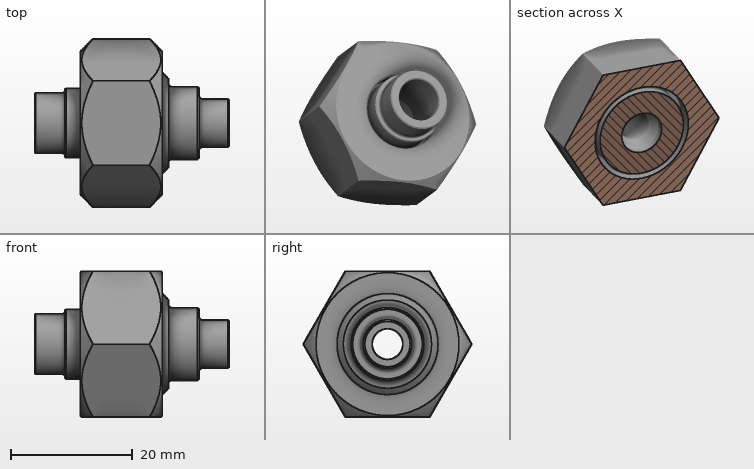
import cadquery as cq
import math

length = 32.0
step_length = 5.0
nut_start = 7.5
nut_width = 13.5
lip_thickness = 2.88
flange_thickness = 2.88
nut_end = nut_start + nut_width
flange_start = nut_start + lip_thickness
flange_end = flange_start + flange_thickness
tip_start = length - step_length
collar_start = tip_start - step_length

across_flats = 24.0
nut_face_diameter = 23.5
nut_hole_diameter = 12.3
nut_hole_chamfer = 0.3
body_diameter = 16.6

tail_tip_diameter = 10.0
tail_collar_diameter = 11.5
flange_diameter = 14.95
tail_bore_diameter = 7.0
tail_chamfer = 0.2
tail_fillet = 0.4
bore_cone_length = 1.73

adapter_tip_diameter = 8.0
adapter_collar_diameter = 12.0
cone_end_diameter = 14.5
adapter_chamfer = 0.3
adapter_fillet = 0.5
through_bore_diameter = 5.0

CUT_MARGIN = 0.32


def cylinder(start, end, diameter):
    return cq.Workplane("YZ").workplane(offset=start).circle(diameter / 2).extrude(end - start)


def cone(start, end, start_diameter, end_diameter):
    """Truncated cone on the X axis."""
    profile = [
        (start, 0),
        (start, start_diameter / 2),
        (end, end_diameter / 2),
        (end, 0),
    ]
    return cq.Workplane("XY").polyline(profile).close().revolve(360, (0, 0, 0), (1, 0, 0))


def nut_blank():
    """Hexagon with a vertex toward +Y and -Y and both ends chamfered at 45 degrees."""
    across_corners = across_flats / math.cos(math.pi / 6)
    corner_chamfer = (across_corners - nut_face_diameter) / 2
    hexagon = (
        cq.Workplane("YZ").workplane(offset=nut_start)
        .polygon(6, across_corners).extrude(nut_width)
    )
    envelope = cylinder(nut_start, nut_end, across_corners).edges().chamfer(corner_chamfer)
    return hexagon.intersect(envelope)


def make_nut():
    hole = cylinder(nut_start - CUT_MARGIN, nut_end, nut_hole_diameter)
    hole_chamfer = cone(
        nut_start, nut_start + nut_hole_chamfer,
        nut_hole_diameter + 2 * nut_hole_chamfer, nut_hole_diameter,
    )
    bore = cylinder(flange_start, nut_end + CUT_MARGIN, body_diameter)
    return nut_blank().cut(hole).cut(hole_chamfer).cut(bore)


def make_tail():
    """Hollow tail whose flange is held behind the nut lip."""
    tip = cylinder(0, step_length, tail_tip_diameter).faces("<X").edges().chamfer(tail_chamfer)
    collar = (
        cylinder(step_length, flange_start, tail_collar_diameter)
        .faces("<X").edges().chamfer(tail_chamfer)
    )
    flange = cylinder(flange_start, flange_end, flange_diameter)
    tail = tip.union(collar).union(flange)
    for root, diameter in ((step_length, tail_tip_diameter), (flange_start, tail_collar_diameter)):
        tail = fillet_root(tail, root, diameter, tail_fillet)

    cone_start = flange_end - bore_cone_length
    bore = cylinder(-CUT_MARGIN, cone_start, tail_bore_diameter)
    bore_chamfer = cone(
        0, tail_chamfer,
        tail_bore_diameter + 2 * tail_chamfer, tail_bore_diameter,
    )
    bore_cone = cone(cone_start, flange_end, tail_bore_diameter, through_bore_diameter)
    return tail.cut(bore).cut(bore_chamfer).cut(bore_cone)


def fillet_root(body, root, diameter, radius):
    """Round the inside corner where a step of this diameter meets the shoulder at x = root."""
    tolerance = 0.003
    reach = diameter / 2 + tolerance
    corner = cq.selectors.BoxSelector(
        (root - tolerance, -reach, -reach),
        (root + tolerance, reach, reach),
        boundingbox=True,
    )
    return body.edges(corner).fillet(radius)


def make_adapter():
    """Turned adapter that fills the nut bore and leaves it through a cone."""
    body = cylinder(flange_end, nut_end, body_diameter)
    shoulder = cone(nut_end, collar_start, body_diameter, cone_end_diameter)
    collar = (
        cylinder(collar_start, tip_start, adapter_collar_diameter)
        .faces(">X").edges().chamfer(adapter_chamfer)
    )
    tip = (
        cylinder(tip_start, length, adapter_tip_diameter)
        .faces(">X").edges().chamfer(adapter_chamfer)
    )
    adapter = body.union(shoulder).union(collar).union(tip)
    for root, diameter in ((collar_start, adapter_collar_diameter), (tip_start, adapter_tip_diameter)):
        adapter = fillet_root(adapter, root, diameter, adapter_fillet)
    bore = cylinder(flange_end - CUT_MARGIN, length + CUT_MARGIN, through_bore_diameter)
    return adapter.cut(bore)


nut = make_nut()
tail = make_tail()
adapter = make_adapter()

result = cq.Compound.makeCompound([nut.solids().val(), tail.solids().val(), adapter.solids().val()])